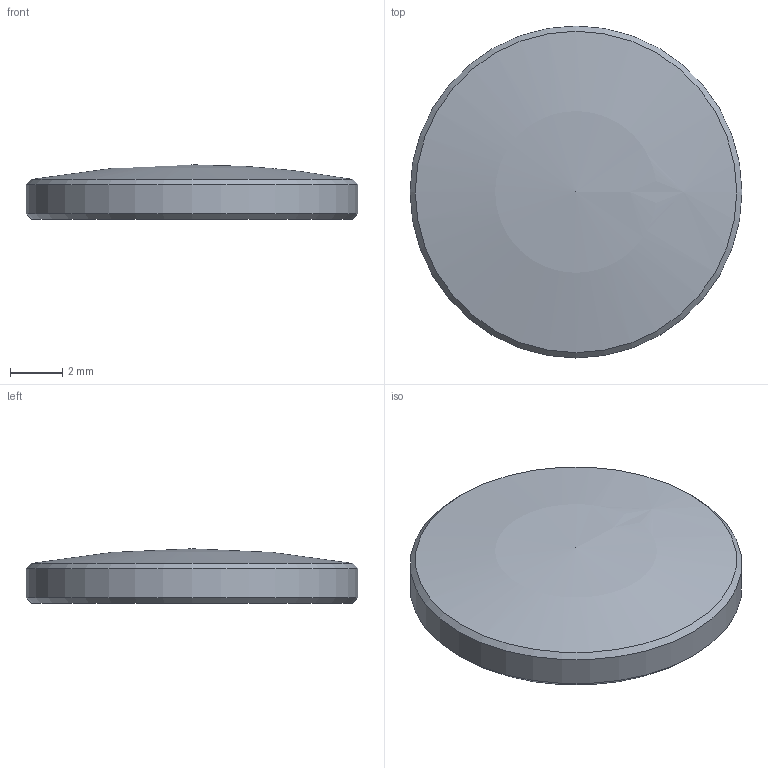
import cadquery as cq
import math

diameter = 12.7
center_thickness = 2.08
bevel = 0.2
dome_height = 0.56

rim_radius = diameter / 2
cap_radius = rim_radius - bevel
shoulder_height = center_thickness - dome_height

sphere_radius = (cap_radius**2 + dome_height**2) / (2 * dome_height)
sphere_center_height = center_thickness - sphere_radius


def dome_surface_height(radius):
    """Height of the spherical top at a distance from the optical axis."""
    return sphere_center_height + math.sqrt(sphere_radius**2 - radius**2)


def half_profile():
    """Lens section from the optical axis out to the rim, in the XZ plane."""
    arc_mid_radius = cap_radius / 2
    arc_mid_point = (arc_mid_radius, dome_surface_height(arc_mid_radius))
    return (
        cq.Workplane("XZ")
        .moveTo(0, 0)
        .lineTo(cap_radius, 0)
        .lineTo(rim_radius, bevel)
        .lineTo(rim_radius, shoulder_height - bevel)
        .lineTo(cap_radius, shoulder_height)
        .threePointArc(arc_mid_point, (0, center_thickness))
        .close()
    )


result = half_profile().revolve(360, (0, 0, 0), (0, 1, 0))